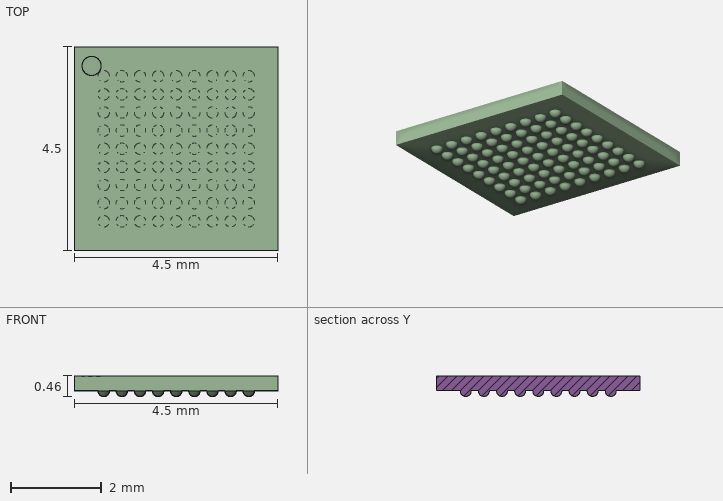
import cadquery as cq

package_side = 4.5
package_height = 0.46

ball_diameter = 0.25
ball_radius = ball_diameter / 2
balls_per_side = 9
grid_span = 3.2
ball_pitch = grid_span / (balls_per_side - 1)

body_thickness = package_height - ball_radius

mark_diameter = 0.425
mark_depth = 0.02
mark_inset_x = 0.382
mark_inset_y = 0.425


def make_body():
    return cq.Workplane("XY").rect(package_side, package_side).extrude(body_thickness)


def cut_mark(body):
    mark_x = mark_inset_x - package_side / 2
    mark_y = package_side / 2 - mark_inset_y
    mark = (
        cq.Workplane("XY", origin=(mark_x, mark_y, body_thickness - mark_depth))
        .circle(mark_diameter / 2)
        .extrude(mark_depth)
    )
    return body.cut(mark)


def add_balls(body):
    ball = cq.Solid.makeSphere(ball_radius, angleDegrees1=-90, angleDegrees2=0)
    balls = (
        cq.Workplane("XY")
        .rarray(ball_pitch, ball_pitch, balls_per_side, balls_per_side)
        .eachpoint(lambda place: ball.moved(place))
    )
    return body.union(balls)


result = add_balls(cut_mark(make_body()))